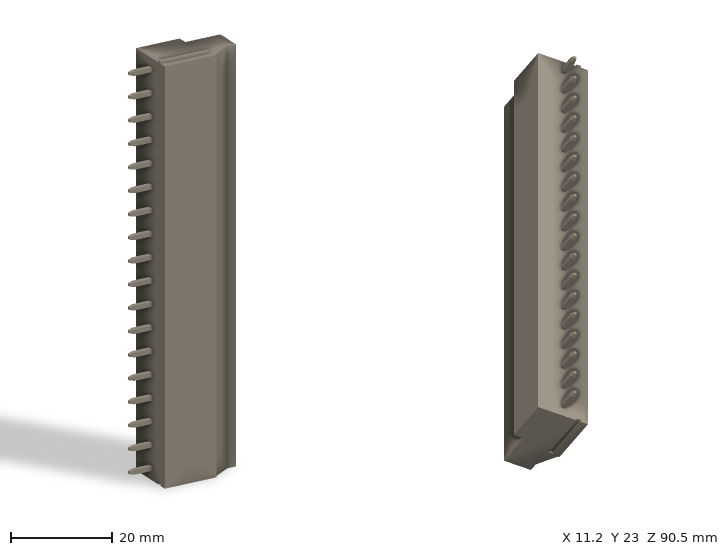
import cadquery as cq

pin_count = 18
overall_height = 90.5
rib_height = 0.45
body_height = overall_height - rib_height
pitch = body_height / pin_count

body_width = 11.2
body_depth = 18.0
step_width = 2.2
step_y = 10.0
nose_right_x = 8.2
slope_top_y = 16.0
slope_bottom_x = 10.9
shoulder_y = 11.8

rib_center_x = 9.1
rib_width = 0.9
rib_length = 11.4

pin_center_x = body_width / 2
pin_width = 1.0
pin_tip_width = 0.5
pin_length = 5.0
pin_tip_length = 1.0
pin_root_depth = 0.9


def make_body():
    outline = [
        (0, 0),
        (body_width, 0),
        (body_width, shoulder_y),
        (slope_bottom_x, shoulder_y),
        (nose_right_x, slope_top_y),
        (nose_right_x, body_depth),
        (step_width, body_depth),
        (step_width, step_y),
        (0, step_y),
    ]
    return cq.Workplane("XY").polyline(outline).close().extrude(body_height)


def make_rib(base_z):
    """Rectangular bar running in +Y from the pin face, with its base at base_z."""
    corner = (rib_center_x - rib_width / 2, 0, base_z)
    size = (rib_width, rib_length, rib_height)
    return cq.Workplane("XY", origin=corner).box(*size, centered=False)


def make_pin(center_z):
    shank_length = pin_length - pin_tip_length
    root = cq.Workplane("XZ", origin=(pin_center_x, pin_root_depth, center_z))
    shank = root.rect(pin_width, pin_width).extrude(pin_root_depth + shank_length)
    tip = (
        cq.Workplane("XZ", origin=(pin_center_x, -shank_length, center_z))
        .rect(pin_width, pin_width)
        .workplane(offset=pin_tip_length)
        .rect(pin_tip_width, pin_tip_width)
        .loft()
    )
    return shank.union(tip)


result = make_body().union(make_rib(body_height)).cut(make_rib(0))
for index in range(pin_count):
    result = result.union(make_pin((index + 0.5) * pitch))